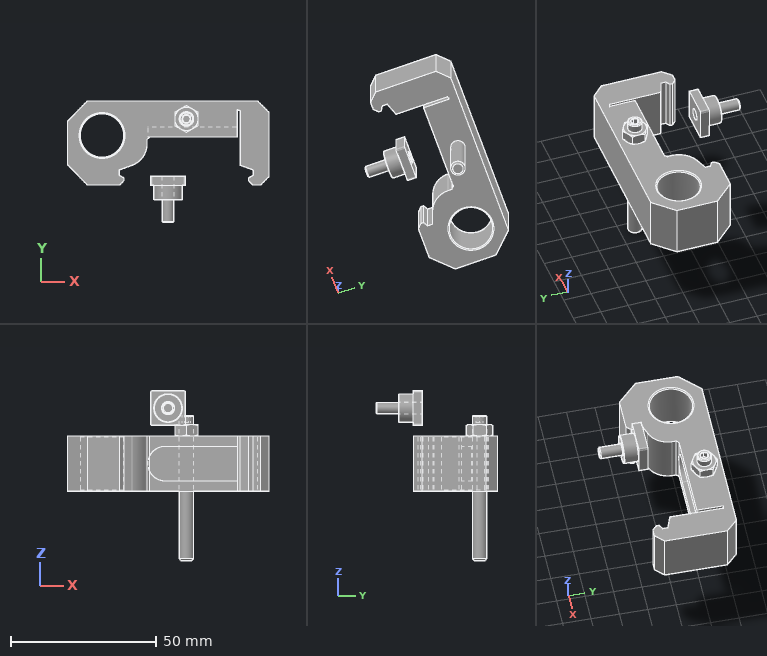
import cadquery as cq
import math

LENGTH = 69.5
DEPTH = 29.05
HEIGHT = 19.05
BAR_DEPTH = 12.5
LEFT_CHAMFER_X = 6.95
LEFT_CHAMFER_Y = 7.1
RIGHT_BACK_CHAMFER = 4.0
RIGHT_FRONT_CHAMFER = 3.0

GROOVE_TOP_Y = -23.85
GROOVE_BOTTOM_Y = -25.65
LIP_TOP_Y = -26.55
LIP_BOTTOM_Y = -27.5
LIP_REACH = 1.6
LEFT_GROOVE_X = 17.9
RIGHT_GROOVE_X = 63.95
JAW_SLOPE = math.radians(20)

FLANK_X = 27.5
FLANK_RADIUS = 8.0
CORNER_CHAMFER = 0.8

SLOT_LEFT_X = 58.5
SLOT_RIGHT_X = 59.5
SLOT_END_Y = -3.1

BORE_X = 11.95
BORE_Y = -11.95
BORE_DIAMETER = 14.95
BORE_CHAMFER = 0.4

POCKET_LEFT_X = 27.7
POCKET_HEIGHT = 11.95
POCKET_DEPTH = 3.5

SCREW_X = 41.0
SCREW_Y = -BAR_DEPTH / 2
SCREW_DIAMETER = 5.0
SCREW_BOTTOM_Z = -23.9
SCREW_LENGTH = 50.05
SCREW_TIP_CHAMFER = 0.7
SCREW_TOP_CHAMFER = 0.35
SOCKET_FLATS = 2.5
SOCKET_DEPTH = 2.5
SOCKET_MOUTH_DIAMETER = 2.9

NUT_FLATS = 8.0
NUT_HEIGHT = 3.95
NUT_TURN = 30.0
NUT_CHAMFER_ANGLE = math.radians(30)

TNUT_X = 34.7
TNUT_Z = 28.6
PLATE_SIDE = 11.95
PLATE_THICKNESS = 3.2
PLATE_EDGE_RADIUS = 0.5
PLATE_BACK_Y = -25.9
BOSS_DIAMETER = 9.9
BOSS_LENGTH = 5.0
TNUT_HOLE_DIAMETER = 4.1
TNUT_EDGE_CHAMFER = 0.2

STUD_DIAMETER = 4.0
STUD_LENGTH = 16.05
STUD_TIP_CHAMFER = 0.4


def clamp_outline():
    """Closed profile of the clamp, from the back left corner round by the front."""
    slope = math.tan(JAW_SLOPE)
    arc_center_x = FLANK_X - FLANK_RADIUS
    arc_end_x = arc_center_x + FLANK_RADIUS * math.sin(JAW_SLOPE)
    arc_end_y = GROOVE_TOP_Y + (arc_end_x - LEFT_GROOVE_X) * slope
    arc_center_y = arc_end_y + FLANK_RADIUS * math.cos(JAW_SLOPE)
    arc_middle_angle = (JAW_SLOPE - math.pi / 2) / 2
    arc_middle = (
        arc_center_x + FLANK_RADIUS * math.cos(arc_middle_angle),
        arc_center_y + FLANK_RADIUS * math.sin(arc_middle_angle),
    )
    left_lip_x = LEFT_GROOVE_X + LIP_REACH
    right_lip_x = RIGHT_GROOVE_X - LIP_REACH
    lip_chamfer = LIP_BOTTOM_Y + DEPTH
    slot_width = SLOT_RIGHT_X - SLOT_LEFT_X
    right_slope_start_y = GROOVE_TOP_Y + (RIGHT_GROOVE_X - SLOT_RIGHT_X) * slope

    return (
        cq.Workplane("XY")
        .moveTo(LEFT_CHAMFER_X, 0)
        .lineTo(0, -LEFT_CHAMFER_Y)
        .lineTo(0, LEFT_CHAMFER_Y - DEPTH)
        .lineTo(LEFT_CHAMFER_X, -DEPTH)
        .lineTo(left_lip_x - lip_chamfer, -DEPTH)
        .lineTo(left_lip_x, LIP_BOTTOM_Y)
        .lineTo(left_lip_x, LIP_TOP_Y)
        .lineTo(LEFT_GROOVE_X, GROOVE_BOTTOM_Y)
        .lineTo(LEFT_GROOVE_X, GROOVE_TOP_Y)
        .lineTo(arc_end_x, arc_end_y)
        .threePointArc(arc_middle, (FLANK_X, arc_center_y))
        .lineTo(FLANK_X, -BAR_DEPTH - CORNER_CHAMFER)
        .lineTo(FLANK_X + CORNER_CHAMFER, -BAR_DEPTH)
        .lineTo(SLOT_LEFT_X, -BAR_DEPTH)
        .lineTo(SLOT_LEFT_X, SLOT_END_Y)
        .lineTo(SLOT_RIGHT_X, SLOT_END_Y - slot_width * slope)
        .lineTo(SLOT_RIGHT_X, right_slope_start_y)
        .lineTo(RIGHT_GROOVE_X, GROOVE_TOP_Y)
        .lineTo(RIGHT_GROOVE_X, GROOVE_BOTTOM_Y)
        .lineTo(right_lip_x, LIP_TOP_Y)
        .lineTo(right_lip_x, LIP_BOTTOM_Y)
        .lineTo(right_lip_x + lip_chamfer, -DEPTH)
        .lineTo(LENGTH - RIGHT_FRONT_CHAMFER, -DEPTH)
        .lineTo(LENGTH, RIGHT_FRONT_CHAMFER - DEPTH)
        .lineTo(LENGTH, -RIGHT_BACK_CHAMFER)
        .lineTo(LENGTH - RIGHT_BACK_CHAMFER, 0)
        .close()
    )


def jaw_bore():
    """Cutter for the large bore, with a chamfer at both mouths."""
    radius = BORE_DIAMETER / 2
    mouth_radius = radius + BORE_CHAMFER
    profile = (
        cq.Workplane("XZ")
        .polyline([
            (0, 0),
            (mouth_radius, 0),
            (radius, BORE_CHAMFER),
            (radius, HEIGHT - BORE_CHAMFER),
            (mouth_radius, HEIGHT),
            (0, HEIGHT),
        ])
        .close()
    )
    return profile.revolve(360, (0, 0), (0, 1)).translate((BORE_X, BORE_Y, 0))


def bar_pocket():
    """Cutter for the pocket: a half-round left end and a straight run to the slot."""
    radius = POCKET_HEIGHT / 2
    middle_z = HEIGHT / 2
    end_center_x = POCKET_LEFT_X + radius
    return (
        cq.Workplane("XZ", origin=(0, POCKET_DEPTH - BAR_DEPTH, 0))
        .moveTo(SLOT_LEFT_X, middle_z + radius)
        .lineTo(end_center_x, middle_z + radius)
        .threePointArc((POCKET_LEFT_X, middle_z), (end_center_x, middle_z - radius))
        .lineTo(SLOT_LEFT_X, middle_z - radius)
        .close()
        .extrude(POCKET_DEPTH)
    )


def make_clamp():
    """Clamp profile with the large bore, the pocket and the set screw hole cut out."""
    screw_hole = (
        cq.Workplane("XY")
        .center(SCREW_X, SCREW_Y)
        .circle(SCREW_DIAMETER / 2)
        .extrude(HEIGHT)
    )
    return clamp_outline().extrude(HEIGHT).cut(jaw_bore()).cut(bar_pocket()).cut(screw_hole)


def hexagon_diameter(flats):
    """Corner to corner size of a hexagon with the given size across its flats."""
    return flats / math.cos(math.pi / 6)


def make_set_screw():
    """Headless screw with a hexagon socket that opens through a shallow 45 degree cone."""
    screw = (
        cq.Workplane("XY", origin=(SCREW_X, SCREW_Y, SCREW_BOTTOM_Z))
        .circle(SCREW_DIAMETER / 2)
        .extrude(SCREW_LENGTH)
        .faces("<Z").chamfer(SCREW_TIP_CHAMFER)
        .faces(">Z").chamfer(SCREW_TOP_CHAMFER)
    )
    socket = (
        cq.Workplane("XY", origin=(SCREW_X, SCREW_Y, SCREW_BOTTOM_Z + SCREW_LENGTH))
        .polygon(6, hexagon_diameter(SOCKET_FLATS))
        .extrude(-SOCKET_DEPTH)
    )
    mouth_radius = SOCKET_MOUTH_DIAMETER / 2
    mouth = cq.Workplane(cq.Solid.makeCone(
        mouth_radius,
        0,
        mouth_radius,
        pnt=cq.Vector(SCREW_X, SCREW_Y, SCREW_BOTTOM_Z + SCREW_LENGTH),
        dir=cq.Vector(0, 0, -1),
    ))
    return screw.cut(socket).cut(mouth)


def make_lock_nut():
    """Hexagon nut with two corners along Y and conical chamfers at both ends."""
    corner_radius = hexagon_diameter(NUT_FLATS) / 2
    face_radius = NUT_FLATS / 2
    chamfer_height = (corner_radius - face_radius) * math.tan(NUT_CHAMFER_ANGLE)
    hexagon = (
        cq.Workplane("XY")
        .polygon(6, 2 * corner_radius)
        .extrude(NUT_HEIGHT)
        .rotate((0, 0, 0), (0, 0, 1), NUT_TURN)
    )
    chamfered_blank = (
        cq.Workplane("XZ")
        .polyline([
            (0, 0),
            (face_radius, 0),
            (corner_radius, chamfer_height),
            (corner_radius, NUT_HEIGHT - chamfer_height),
            (face_radius, NUT_HEIGHT),
            (0, NUT_HEIGHT),
        ])
        .close()
        .revolve(360, (0, 0), (0, 1))
    )
    thread = cq.Workplane("XY").circle(SCREW_DIAMETER / 2).extrude(NUT_HEIGHT)
    return hexagon.intersect(chamfered_blank).cut(thread).translate((SCREW_X, SCREW_Y, HEIGHT))


def make_t_nut():
    """Square plate with a round boss toward -Y and a hole through both."""
    plate = (
        cq.Workplane("XZ", origin=(TNUT_X, PLATE_BACK_Y, TNUT_Z))
        .rect(PLATE_SIDE, PLATE_SIDE)
        .extrude(PLATE_THICKNESS)
        .edges("|Y").fillet(PLATE_EDGE_RADIUS)
    )
    return (
        plate
        .faces("<Y").workplane(origin=(TNUT_X, 0, TNUT_Z))
        .circle(BOSS_DIAMETER / 2)
        .extrude(BOSS_LENGTH)
        .faces("<Y").workplane(origin=(TNUT_X, 0, TNUT_Z))
        .hole(TNUT_HOLE_DIAMETER)
        .faces("<Y").chamfer(TNUT_EDGE_CHAMFER)
    )


def make_stud():
    """Plain stud that starts level with the back of the T-nut."""
    return (
        cq.Workplane("XZ", origin=(TNUT_X, PLATE_BACK_Y, TNUT_Z))
        .circle(STUD_DIAMETER / 2)
        .extrude(STUD_LENGTH)
        .faces("<Y").chamfer(STUD_TIP_CHAMFER)
    )


clamp = make_clamp()
set_screw = make_set_screw()
lock_nut = make_lock_nut()
t_nut = make_t_nut()
stud = make_stud()

result = cq.Compound.makeCompound([
    clamp.val(),
    set_screw.val(),
    lock_nut.val(),
    t_nut.val(),
    stud.val(),
])